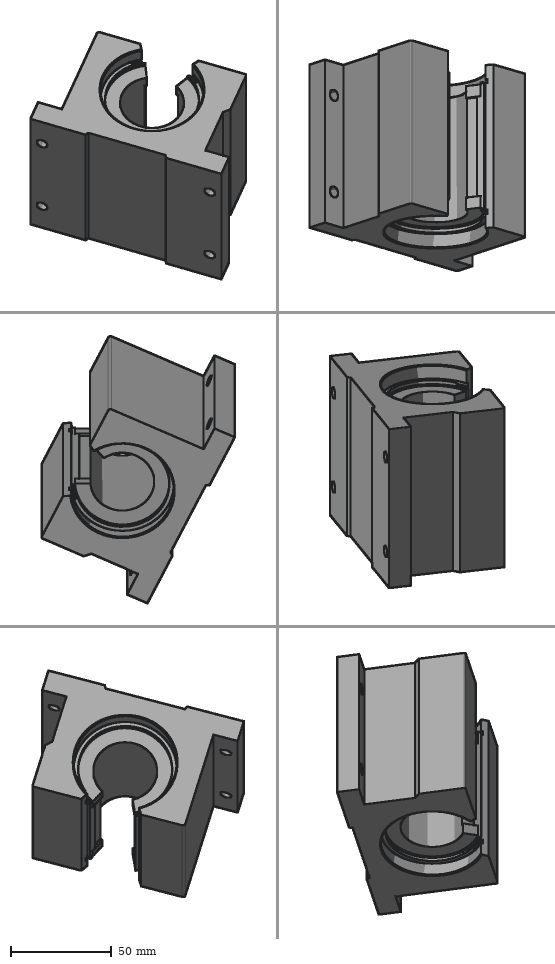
import cadquery as cq
import math

length = 85.8
base_width = 101.6
bore_height = 38.1
top_y = 25.4
flange_thickness = 11.3
jaw_half_width = 38.2
step_width = 2.8
step_y = 1.8
jaw_corner_radius = 1.3
step_corner_radius = 0.8
mouth_half_angle = 31.5
relief_half_width = 21.4
relief_depth = 1.6
relief_taper = 0.9
bolt_diameter = 5.6
bolt_x = 44.6
bolt_z = 25.4

bore_radius = 25.7
bore_chamfer = 0.5
ring_inner_radius = 23.5
ring_thickness = 2.1
groove_depth = 1.0
ring_end_inner = (15.7, 17.4)
ring_end_outer = (18.7, 18.0)

sleeve_radius = 25.4
sleeve_length = 66.6
sleeve_chamfer = 0.7
sleeve_inner_radius = 21.6
collar_radius = 23.7
collar_inset = 0.9
collar_height = 6.2
shaft_radius = 16.0
slot_apex_y = -2.8
slot_half_angle = 25.0
liner_slot_setback = 1.3

base_y = -bore_height
flange_y = base_y + flange_thickness
step_x = jaw_half_width + step_width
sleeve_end = sleeve_length / 2
collar_end = sleeve_end - collar_inset
collar_base = collar_end - collar_height
groove_radius = bore_radius + groove_depth
reach = 2 * top_y


def cylinder(radius, height):
    """Solid cylinder on the bore axis, centred on Z = 0."""
    return cq.Workplane("XY").circle(radius).extrude(height / 2, both=True)


def wedge(apex_y, half_angle):
    """Full-length wedge with its apex on the Y axis, opening toward +Y."""
    spread = reach * math.tan(math.radians(half_angle))
    points = [(0, apex_y), (spread, apex_y + reach), (-spread, apex_y + reach)]
    return cq.Workplane("XY").polyline(points).close().extrude(length, both=True)


def round_corner(body, x, radius):
    """Round the vertical edge at the top of one jaw."""
    corner = cq.NearestToPointSelector((x, top_y, 0))
    return body.edges("|Z").edges(corner).fillet(radius)


def flared_bore():
    """Bore cutter whose two ends open out to form the entry chamfers."""
    half = length / 2
    mouth_radius = bore_radius + bore_chamfer
    profile = [
        (0, -half),
        (mouth_radius, -half),
        (bore_radius, bore_chamfer - half),
        (bore_radius, half - bore_chamfer),
        (mouth_radius, half),
        (0, half),
    ]
    return cq.Workplane("XZ").polyline(profile).close().revolve(360, (0, 0), (0, 1))


def make_housing():
    """Flanged block with an open bore, two snap-ring grooves and four bolt holes."""
    half_width = base_width / 2
    relief_top = relief_half_width - relief_taper
    outline = [
        (-half_width, base_y),
        (-relief_half_width, base_y),
        (-relief_top, base_y + relief_depth),
        (relief_top, base_y + relief_depth),
        (relief_half_width, base_y),
        (half_width, base_y),
        (half_width, flange_y),
        (jaw_half_width, flange_y),
        (jaw_half_width, step_y - step_width),
        (step_x, step_y),
        (step_x, top_y),
        (-jaw_half_width, top_y),
        (-jaw_half_width, flange_y),
        (-half_width, flange_y),
    ]
    body = cq.Workplane("XY").polyline(outline).close().extrude(length / 2, both=True)
    body = round_corner(body, -jaw_half_width, jaw_corner_radius)
    body = round_corner(body, step_x, step_corner_radius)
    body = body.cut(flared_bore())
    body = body.cut(wedge(0, mouth_half_angle))
    for side in (-1, 1):
        body = body.cut(ring_space(side))

    bolts = (
        cq.Workplane("XZ", origin=(0, base_y, 0))
        .rect(2 * bolt_x, 2 * bolt_z, forConstruction=True)
        .vertices()
        .circle(bolt_diameter / 2)
        .extrude(-flange_thickness)
    )
    return body.cut(bolts)


def ring_space(side):
    """Disc filling one snap-ring position, just outside the sleeve end on the given side."""
    middle = side * (sleeve_end + ring_thickness / 2)
    return cylinder(groove_radius, ring_thickness).translate((0, 0, middle))


def make_snap_ring(side):
    """Open snap ring seated in the housing groove and holding one end of the sleeve."""
    inner_x, inner_y = ring_end_inner
    outer_x, outer_y = ring_end_outer
    far_y = inner_y + (outer_y - inner_y) / (outer_x - inner_x) * (reach - inner_x)
    gap_outline = [
        (0, 0),
        ring_end_inner,
        (reach, far_y),
        (reach, reach),
        (-reach, reach),
        (-reach, far_y),
        (-inner_x, inner_y),
    ]
    gap = cq.Workplane("XY").polyline(gap_outline).close().extrude(length, both=True)
    ring = ring_space(side).cut(cylinder(ring_inner_radius, length))
    return ring.cut(gap)


def make_sleeve():
    """Slotted outer sleeve, counterbored at both ends for the liner collars."""
    sleeve = cylinder(sleeve_radius, sleeve_length).faces("|Z").edges().chamfer(sleeve_chamfer)
    counterbores = cylinder(collar_radius, sleeve_length).cut(cylinder(collar_radius, 2 * collar_base))
    sleeve = sleeve.cut(cylinder(sleeve_inner_radius, sleeve_length)).cut(counterbores)
    return sleeve.cut(wedge(slot_apex_y, slot_half_angle))


def make_liner():
    """Inner liner with a wide-slotted middle and a collar at each end."""
    setback_apex_y = slot_apex_y - liner_slot_setback / math.sin(math.radians(slot_half_angle))
    middle = cylinder(sleeve_inner_radius, 2 * collar_base).cut(wedge(setback_apex_y, slot_half_angle))
    collars = cylinder(collar_radius, 2 * collar_end).cut(cylinder(collar_radius, 2 * collar_base))
    collars = collars.cut(wedge(slot_apex_y, slot_half_angle))
    return collars.union(middle).cut(cylinder(shaft_radius, length))


housing = make_housing()
sleeve = make_sleeve()
liner = make_liner()
snap_rings = [make_snap_ring(side) for side in (-1, 1)]

result = cq.Compound.makeCompound([
    housing.val(),
    sleeve.val(),
    liner.val(),
    *[ring.val() for ring in snap_rings],
])